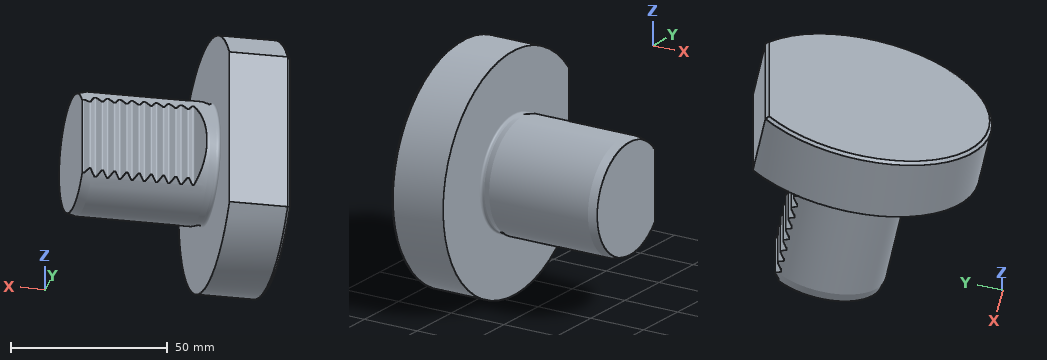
import cadquery as cq
import math

total_length = 64.0
head_radius = 41.45
head_thickness = 20.0
flat_distance = 32.4
head_chamfer = 1.0

shank_radius = 20.0
taper_angle = math.radians(15)
tip_length = 3.0
relief_fillet = 0.75
relief_floor_end = 1.3
relief_length = 3.6

tooth_row_length = 36.0
tooth_count = 9
tooth_pitch = tooth_row_length / tooth_count
tooth_crest_height = 16.3
tooth_rounding = 0.5
first_root = 7.8
wall_angle = math.radians(60)

shank_length = total_length - head_thickness
tooth_root_height = tooth_crest_height - tooth_pitch / 2


def make_head():
    disc = cq.Workplane("YZ").circle(head_radius).extrude(head_thickness)
    side = 2 * head_radius
    keep = cq.Workplane("XY").box(side, side, side).translate((0, flat_distance - head_radius, 0))
    return disc.intersect(keep).faces("<X").chamfer(head_chamfer)


def make_shank():
    relief_radius = shank_radius - (relief_length - relief_floor_end) * math.tan(taper_angle)
    tip_radius = shank_radius - tip_length * math.tan(taper_angle)
    arc_offset = relief_fillet * (1 - math.sqrt(0.5))
    return (
        cq.Workplane("XY", origin=(head_thickness, 0, 0))
        .lineTo(0, relief_radius + relief_fillet)
        .threePointArc((arc_offset, relief_radius + arc_offset), (relief_fillet, relief_radius))
        .lineTo(relief_floor_end, relief_radius)
        .lineTo(relief_length, shank_radius)
        .lineTo(shank_length - tip_length, shank_radius)
        .lineTo(shank_length, tip_radius)
        .lineTo(shank_length, 0)
        .close()
        .revolve(360, (0, 0, 0), (1, 0, 0))
    )


def make_tooth_cutter():
    top = shank_radius + tooth_pitch
    wall_run = (top - tooth_root_height) / math.tan(wall_angle)
    outline = [(first_root - wall_run, top), (first_root, tooth_root_height)]
    for tooth in range(tooth_count):
        root = first_root + tooth * tooth_pitch
        outline.append((root + tooth_pitch / 2, tooth_crest_height))
        outline.append((root + tooth_pitch, tooth_root_height))
    end = outline[-1][0] + tooth_pitch / 2
    outline += [(end, tooth_crest_height), (end, top)]
    cutter = (
        cq.Workplane("XY", origin=(head_thickness, 0, 0))
        .polyline(outline)
        .close()
        .extrude(shank_radius + tooth_pitch, both=True)
    )
    below_crests = cq.selectors.BoxSelector(
        (head_thickness, tooth_root_height - tooth_rounding, -shank_radius),
        (head_thickness + end - tooth_rounding, tooth_crest_height + tooth_rounding, shank_radius),
    )
    return cutter.edges("|Z").edges(below_crests).fillet(tooth_rounding)


result = make_head().union(make_shank().cut(make_tooth_cutter()))